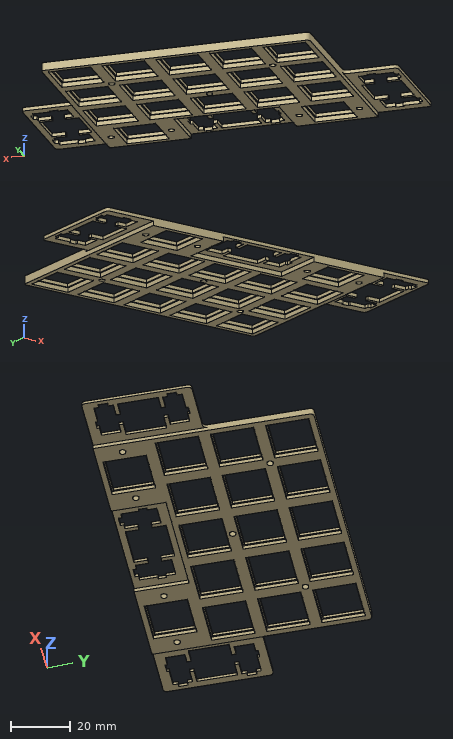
import cadquery as cq

plate_width = 133.4
columns = 7
rows = 4
pitch = plate_width / columns
plate_depth = rows * pitch

total_thickness = 3.0
upper_thickness = 1.3
lower_thickness = total_thickness - upper_thickness
corner_radius = 1.3
wing_width = pitch
wing_depth = 2 * pitch
recess_width = 37.3
recess_depth = pitch

switch_size = 14.0
clip_clearance = 0.48
backing_switch_size = switch_size + 2 * clip_clearance
hole_diameter = 2.1
hole_key_spacing = 10.7
outer_key_x = 1.75 * pitch
bottom_row_y = pitch / 2

housing_offset = 11.9
housing_width = 6.7
housing_top = 5.6
housing_bottom = -6.8
foot_width = 3.2
foot_bottom = -8.0
channel_height = 4.5
notch_reach = 16.0
notch_top = channel_height / 2
notch_bottom = -0.51


def block(x_min, x_max, y_min, y_max, z_min=0.0, z_max=total_thickness):
    """Axis-aligned box between the given limits."""
    size = (x_max - x_min, y_max - y_min, z_max - z_min)
    return cq.Workplane("XY").box(*size, centered=False).translate((x_min, y_min, z_min))


def upper_layer():
    """Wide lower rows with a narrower block above, all corners rounded."""
    wide_x = plate_width / 2
    narrow_x = wide_x - wing_width
    outline = [
        (-wide_x, 0),
        (wide_x, 0),
        (wide_x, wing_depth),
        (narrow_x, wing_depth),
        (narrow_x, plate_depth),
        (-narrow_x, plate_depth),
        (-narrow_x, wing_depth),
        (-wide_x, wing_depth),
    ]
    layer = cq.Workplane("XY").polyline(outline).close().extrude(upper_thickness)
    layer = layer.edges("|Z").fillet(corner_radius)
    return layer.translate((0, 0, lower_thickness))


def lower_layer():
    """Backing below the narrow block, open around the middle stabilizer."""
    narrow_x = plate_width / 2 - wing_width
    layer = block(-narrow_x, narrow_x, 0, plate_depth, 0, lower_thickness)
    layer = layer.edges("|Z and >Y").fillet(corner_radius)
    return layer.cut(block(-recess_width / 2, recess_width / 2, 0, recess_depth, 0, lower_thickness))


def stabilizer_cutter():
    """Switch square, connecting channel and a housing with foot and notch on each side."""
    half_switch = switch_size / 2
    half_channel = channel_height / 2
    cutter = block(-half_switch, half_switch, -half_switch, half_switch)
    cutter = cutter.union(block(-housing_offset, housing_offset, -half_channel, half_channel))
    half_housing = housing_width / 2
    housing = block(
        housing_offset - half_housing, housing_offset + half_housing, housing_bottom, housing_top
    )
    half_foot = foot_width / 2
    foot = block(housing_offset - half_foot, housing_offset + half_foot, foot_bottom, 0)
    notch = block(housing_offset, notch_reach, notch_bottom, notch_top)
    side = housing.union(foot).union(notch)
    return cutter.union(side).union(side.mirror("YZ"))


def stabilizer_at(x, y, angle):
    """Stabilizer cutter turned about Z and moved to a key centre."""
    return stabilizer_cutter().rotate((0, 0, 0), (0, 0, 1), angle).translate((x, y, 0))


grid_columns = 5
grid_rows = 3
switch_centers = [(-outer_key_x, bottom_row_y), (outer_key_x, bottom_row_y)]
for row in range(grid_rows):
    for column in range(grid_columns):
        x = (column - (grid_columns - 1) / 2) * pitch
        y = bottom_row_y + (row + 1) * pitch
        switch_centers.append((x, y))

hole_centers = [(0, 2 * pitch)]
for side in (-1, 1):
    hole_centers.append((side * 1.5 * pitch, 3 * pitch))
    hole_centers.append((side * (outer_key_x - hole_key_spacing), bottom_row_y))
    hole_centers.append((side * (outer_key_x + hole_key_spacing), bottom_row_y))

plate = upper_layer().union(lower_layer())

switches = cq.Workplane("XY").pushPoints(switch_centers).rect(switch_size, switch_size)
plate = plate.cut(switches.extrude(total_thickness))
clearances = cq.Workplane("XY").pushPoints(switch_centers).rect(backing_switch_size, backing_switch_size)
plate = plate.cut(clearances.extrude(lower_thickness))

holes = cq.Workplane("XY").pushPoints(hole_centers).circle(hole_diameter / 2)
plate = plate.cut(holes.extrude(total_thickness))

wing_key_x = (plate_width - wing_width) / 2
plate = plate.cut(stabilizer_at(0, bottom_row_y, 0))
plate = plate.cut(stabilizer_at(-wing_key_x, wing_depth / 2, -90))
plate = plate.cut(stabilizer_at(wing_key_x, wing_depth / 2, 90))

result = plate